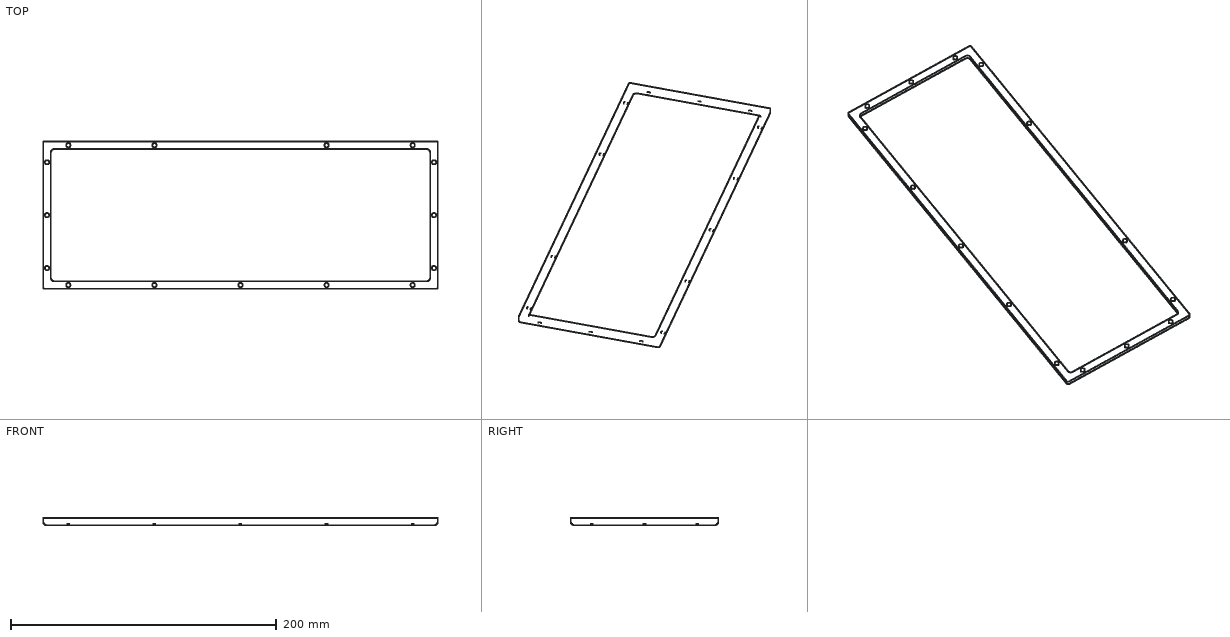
import cadquery as cq

length = 297.8
width = 111.5
height = 5.7
rail_width = 6.0
outer_corner_radius = 1.2
opening_corner_radius = 2.5
bottom_edge_radius = 2.92

hole_diameter = 3.3
hole_depth = 4.5
long_rail_pitch = 65.0
short_rail_pitch = 40.0


def rounded_block(size_x, size_y, corner_radius):
    """Block standing on Z = 0 with rounded vertical edges."""
    block = cq.Workplane("XY").box(size_x, size_y, height, centered=(True, True, False))
    return block.edges("|Z").fillet(corner_radius)


def hole_centres():
    """The rear rail (+Y) has no hole at its middle; every other rail does."""
    rail_x = (length - rail_width) / 2
    rail_y = (width - rail_width) / 2
    front = [(step * long_rail_pitch, -rail_y) for step in (-2, -1, 0, 1, 2)]
    rear = [(step * long_rail_pitch, rail_y) for step in (-2, -1, 1, 2)]
    sides = [(side * rail_x, step * short_rail_pitch) for side in (-1, 1) for step in (-1, 0, 1)]
    return front + rear + sides


opening = rounded_block(length - 2 * rail_width, width - 2 * rail_width, opening_corner_radius)
frame = rounded_block(length, width, outer_corner_radius).cut(opening)

frame = frame.faces("<Z").edges().fillet(bottom_edge_radius)

holes = (
    cq.Workplane("XY", origin=(0, 0, height))
    .pushPoints(hole_centres())
    .circle(hole_diameter / 2)
    .extrude(-hole_depth)
)

result = frame.cut(holes)